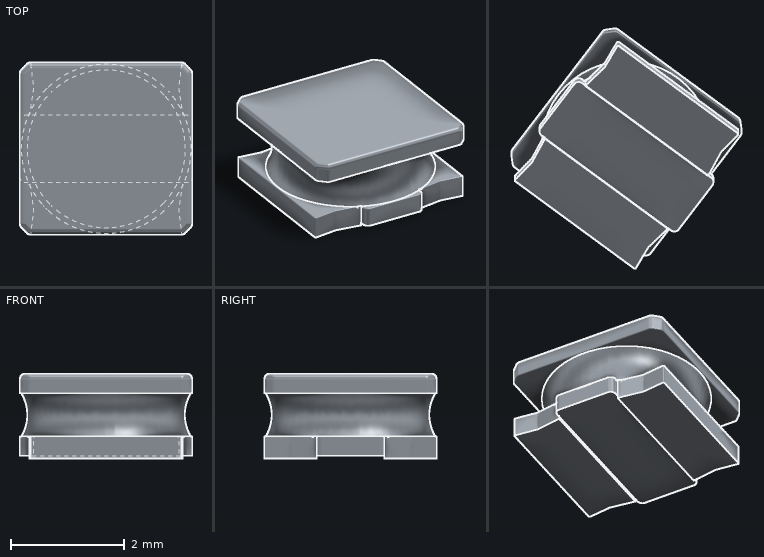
import cadquery as cq

SIDE = 3.05
HEIGHT = 1.5
HALF = SIDE / 2

CAP_THICKNESS = 0.35
CAP_BOTTOM = HEIGHT - CAP_THICKNESS
CAP_CORNER_CHAMFER = 0.16
CAP_ROUNDING = 0.1

PAD_STANDOFF = 0.05
BASE_TOP = 0.393
END_HALF_WIDTH = 1.335
NOTCH_HALF_WIDTH = 1.28
NOTCH_Y = 1.077
STEP_HALF_WIDTH = 1.355
TAB_HALF_LENGTH = 0.595
TAB_ROUNDING = 0.1

WAIST_END_RADIUS = 1.498
WAIST_MIDDLE_RADIUS = 1.395

EDGE_ROUNDING = 0.02


def make_cap():
    """Square flange with bevelled corners and a rounded top rim."""
    blank = cq.Workplane("XY", origin=(0, 0, CAP_BOTTOM)).rect(SIDE, SIDE)
    cap = blank.extrude(CAP_THICKNESS)
    cap = cap.edges("|Z").chamfer(CAP_CORNER_CHAMFER)
    cap = cap.edges("|Z").fillet(CAP_ROUNDING)
    cap = cap.faces(">Z").edges().fillet(CAP_ROUNDING)
    return cap.faces("<Z").edges().fillet(EDGE_ROUNDING)


def make_base():
    """Flange with a tab on each X side between shallow V notches."""
    quarter = [
        (HALF, TAB_HALF_LENGTH),
        (STEP_HALF_WIDTH, TAB_HALF_LENGTH),
        (NOTCH_HALF_WIDTH, NOTCH_Y),
        (END_HALF_WIDTH, HALF),
    ]
    half = quarter + [(-x, y) for x, y in reversed(quarter)]
    outline = half + [(x, -y) for x, y in reversed(half)]
    base = cq.Workplane("XY").polyline(outline).close().extrude(BASE_TOP)
    base = base.edges("|Z and (>X or <X)").fillet(TAB_ROUNDING)
    base = base.edges("|Z and (>Y or <Y)").fillet(EDGE_ROUNDING)
    seat = cq.Workplane("XY").circle(WAIST_END_RADIUS).extrude(BASE_TOP).intersect(base)
    base = base.faces(">Z").edges().fillet(EDGE_ROUNDING).union(seat)
    recess = cq.Workplane("XY").rect(SIDE, 2 * TAB_HALF_LENGTH).extrude(PAD_STANDOFF)
    return base.cut(recess)


def make_waist():
    """Round waist with a concave arc profile joining the two flanges."""
    waist_middle = (BASE_TOP + CAP_BOTTOM) / 2
    return (
        cq.Workplane("XZ")
        .moveTo(0, BASE_TOP)
        .lineTo(WAIST_END_RADIUS, BASE_TOP)
        .threePointArc((WAIST_MIDDLE_RADIUS, waist_middle), (WAIST_END_RADIUS, CAP_BOTTOM))
        .lineTo(0, CAP_BOTTOM)
        .close()
        .revolve(360, (0, 0, 0), (0, 1, 0))
    )


result = make_base().union(make_waist()).union(make_cap())